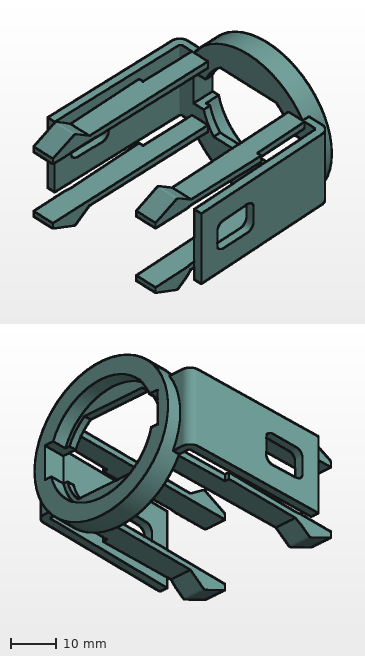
import cadquery as cq

plate_radius = 20.215
plate_thickness = 6.0
bracket_z = 0.95
bracket_height = 20.15
sheet = 2.0

opening_radius = 14.335
opening_height = 20.9
rear_bore_radius = 15.5
notch_width = 34.05
notch_height = 9.0

leg_end_y = -45.0
leg_root_x = 23.35
leg_end_x = 24.0
leg_thickness = 2.25
bend_radius = 2.4
inner_bend_radius = 0.45

window_front_y = -39.9
window_rear_y = -28.25
window_front_height = 7.9
window_rear_height = 8.2
window_corner_radius = 2.0

arm_tip_y = -54.4
arm_root_inner_x = 12.55
arm_tip_inner_x = 13.0
arm_root_outer_x = 17.6
arm_step_y = -21.1
arm_neck_outer_x = 17.85
arm_wide_outer_x = 19.1
arm_waist_outer_x = 18.8
arm_tip_outer_x = 19.05
arm_root_thickness = 1.9
arm_tip_thickness = 1.6
arm_tip_top = 10.0
hook_start_y = -43.0
hook_shoulder_y = -44.6
hook_peak_y = -47.5
hook_peak_top = 13.1
hook_rounding = 0.85

bracket_top = bracket_height / 2
bracket_rear_y = -(plate_thickness - sheet)
front_face = cq.Workplane("XZ", origin=(0, -plate_thickness, 0))


def make_bracket():
    """U-shaped sheet: a flat base with two legs bent forward."""
    inner_root_x = leg_root_x - leg_thickness
    inner_end_x = leg_end_x - leg_thickness
    outer = (
        cq.Workplane("XY", origin=(0, 0, -bracket_top))
        .moveTo(-leg_end_x, leg_end_y)
        .lineTo(-leg_root_x, bracket_rear_y)
        .lineTo(leg_root_x, bracket_rear_y)
        .lineTo(leg_end_x, leg_end_y)
        .close()
        .extrude(bracket_height)
        .edges("|Z and >Y")
        .fillet(bend_radius)
    )
    inner = (
        cq.Workplane("XY", origin=(0, 0, -bracket_top))
        .moveTo(-inner_end_x, leg_end_y)
        .lineTo(-inner_root_x, -plate_thickness)
        .lineTo(inner_root_x, -plate_thickness)
        .lineTo(inner_end_x, leg_end_y)
        .close()
        .extrude(bracket_height)
        .edges("|Z and >Y")
        .fillet(inner_bend_radius)
    )
    return outer.cut(inner).cut(make_windows())


def make_windows():
    """Rounded, slightly tapered cutter that passes through both legs."""
    return (
        cq.Workplane("YZ")
        .moveTo(window_front_y, -window_front_height / 2)
        .lineTo(window_rear_y, -window_rear_height / 2)
        .lineTo(window_rear_y, window_rear_height / 2)
        .lineTo(window_front_y, window_front_height / 2)
        .close()
        .extrude(leg_end_x + leg_thickness, both=True)
        .edges("|X")
        .fillet(window_corner_radius)
    )


def make_arm():
    """Upper arm on the +X side: its plan outline crossed with its hooked side profile."""
    plan = (
        cq.Workplane("XY")
        .moveTo(arm_root_inner_x, -plate_thickness)
        .lineTo(arm_root_outer_x, -plate_thickness)
        .lineTo(arm_neck_outer_x, arm_step_y)
        .lineTo(arm_wide_outer_x, arm_step_y)
        .lineTo(arm_waist_outer_x, hook_start_y)
        .lineTo(arm_tip_outer_x, hook_shoulder_y)
        .lineTo(arm_tip_outer_x, arm_tip_y)
        .lineTo(arm_tip_inner_x, arm_tip_y)
        .close()
        .extrude(hook_peak_top)
    )
    side = (
        cq.Workplane("YZ")
        .moveTo(-plate_thickness, bracket_top - arm_root_thickness)
        .lineTo(-plate_thickness, bracket_top)
        .lineTo(hook_start_y, arm_tip_top)
        .lineTo(hook_peak_y, hook_peak_top)
        .lineTo(arm_tip_y, arm_tip_top)
        .lineTo(arm_tip_y, arm_tip_top - arm_tip_thickness)
        .close()
        .extrude(arm_wide_outer_x)
        .edges("|X and >Z")
        .fillet(hook_rounding)
    )
    return plan.intersect(side)


def make_opening():
    """Round opening with flat top and bottom, a wider bore behind it, and side notches."""
    flats = (
        front_face.center(0, bracket_z)
        .rect(2 * plate_radius, opening_height)
        .extrude(-plate_thickness)
    )
    front_hole = front_face.circle(opening_radius).extrude(-plate_thickness).intersect(flats)
    rear_bore = cq.Workplane("XZ").circle(rear_bore_radius).extrude(-bracket_rear_y)
    notches = (
        front_face.center(0, bracket_z)
        .rect(notch_width, notch_height)
        .extrude(-plate_thickness)
    )
    return front_hole.union(rear_bore).union(notches)


plate = cq.Workplane("XZ").circle(plate_radius).extrude(plate_thickness)
bracket = make_bracket().translate((0, 0, bracket_z))
result = plate.union(bracket).cut(make_opening())

right_top_arm = make_arm()
top_arms = right_top_arm.union(right_top_arm.mirror("YZ"))
for arms in (top_arms, top_arms.mirror("XY")):
    result = result.union(arms.translate((0, 0, bracket_z)))